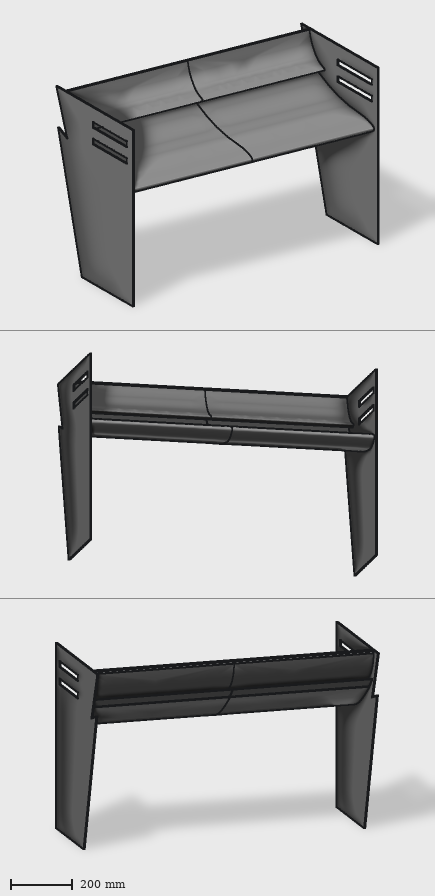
import cadquery as cq
import math

total_span = 960.0
plate_thickness = 5.0
plate_length = 450.0
plate_height = 620.0
plate_foot_x = 150.0
notch_x = 64.0
notch_depth = 162.0
spur_x = 11.0
spur_depth = 142.0

slot_length = 201.0
slot_height = 20.0
slot_rear_x = 214.0
first_slot_depth = 52.0
slot_pitch = 59.0
slot_count = 2

half_count = 2
half_span = (total_span - 2 * plate_thickness) / half_count

main_trailing_top = (91.0, -130.0)
main_trailing_bottom = (88.0, -132.0)
main_top_points = [(141.0, -152.0), (230.0, -180.0), (326.0, -195.0), (408.0, -207.0)]
main_nose = (430.0, -221.0)
main_bottom_points = [(408.0, -240.0), (336.0, -246.0), (240.0, -227.0), (154.0, -180.0)]

flap_trailing_top = (50.0, -4.0)
flap_trailing_bottom = (43.0, -10.0)
flap_top_points = [(63.0, -44.0), (88.0, -81.0), (119.0, -103.0)]
flap_nose = (139.0, -115.0)
flap_bottom_points = [(128.0, -120.0), (102.0, -108.0), (73.0, -82.0), (52.0, -46.0)]

strip_thickness = 3.0
main_strip_length = 45.0
main_strip_angle = 135.0
flap_strip_length = 14.0


def section_plane(front_y):
    """XZ plane at front_y; a negative extrusion runs towards +Y."""
    return cq.Workplane("XZ", origin=(0, front_y, 0))


def make_end_plate(front_y):
    outline = [
        (0, 0),
        (notch_x, -notch_depth),
        (spur_x, -spur_depth),
        (plate_foot_x, -plate_height),
        (plate_length, -plate_height),
        (plate_length, 0),
    ]
    plate = section_plane(front_y).polyline(outline).close().extrude(-plate_thickness)
    slot_x = slot_rear_x + slot_length / 2
    slot_centers = [
        (slot_x, -first_slot_depth - slot_height / 2 - i * slot_pitch) for i in range(slot_count)
    ]
    slots = (
        section_plane(front_y)
        .pushPoints(slot_centers)
        .rect(slot_length, slot_height)
        .extrude(-plate_thickness)
    )
    return plate.cut(slots)


def make_wing_half(front_y, trailing_top, top_points, nose, bottom_points, trailing_bottom):
    """Smooth section round the nose, closed by a blunt trailing edge."""
    return (
        section_plane(front_y)
        .moveTo(*trailing_top)
        .spline([*top_points, nose, *bottom_points, trailing_bottom], includeCurrent=True)
        .close()
        .extrude(-half_span)
    )


def make_main_half(front_y):
    return make_wing_half(
        front_y, main_trailing_top, main_top_points, main_nose, main_bottom_points, main_trailing_bottom
    )


def make_flap_half(front_y):
    return make_wing_half(
        front_y, flap_trailing_top, flap_top_points, flap_nose, flap_bottom_points, flap_trailing_bottom
    )


def make_strip_half(front_y, start, angle, length):
    """Flat bar from start along angle, thickened to the left of that direction."""
    run_x = math.cos(math.radians(angle))
    run_z = math.sin(math.radians(angle))
    x, z = start
    corners = [
        (x, z),
        (x + length * run_x, z + length * run_z),
        (x + length * run_x - strip_thickness * run_z, z + length * run_z + strip_thickness * run_x),
        (x - strip_thickness * run_z, z + strip_thickness * run_x),
    ]
    return section_plane(front_y).polyline(corners).close().extrude(-half_span)


def make_main_strip_half(front_y):
    return make_strip_half(front_y, main_trailing_top, main_strip_angle, main_strip_length)


def make_flap_strip_half(front_y):
    """Bar lying on the blunt trailing edge of the flap and standing above its top side."""
    rise = flap_trailing_top[1] - flap_trailing_bottom[1]
    run = flap_trailing_top[0] - flap_trailing_bottom[0]
    edge_angle = math.degrees(math.atan2(rise, run))
    return make_strip_half(front_y, flap_trailing_bottom, edge_angle, flap_strip_length)


end_plates = [make_end_plate(y) for y in (0, total_span - plate_thickness)]

wing_halves = []
for i in range(half_count):
    half_front_y = plate_thickness + i * half_span
    wing_halves.append(make_main_half(half_front_y))
    wing_halves.append(make_main_strip_half(half_front_y))
    wing_halves.append(make_flap_half(half_front_y))
    wing_halves.append(make_flap_strip_half(half_front_y))

result = cq.Compound.makeCompound([body.val() for body in end_plates + wing_halves])